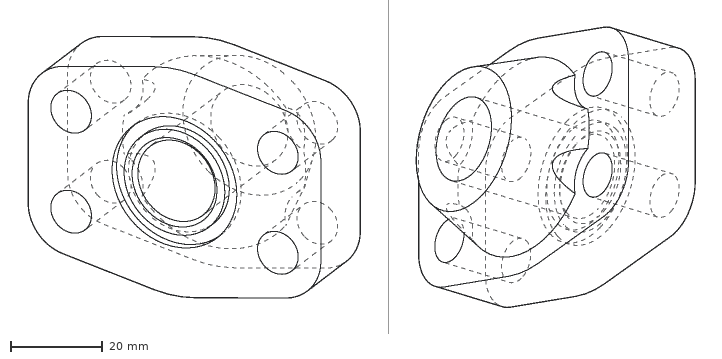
import cadquery as cq
import math

length = 72.0
flange_depth = 19.0
total_depth = 36.0
crown_radius = 26.965
bolt_x = 25.4
bolt_z = 11.9
corner_radius = length / 2 - bolt_x
bolt_hole_diameter = 10.0

neck_base_radius = 22.5
neck_end_radius = 16.35
neck_length = total_depth - flange_depth
bolt_head_radius = 8.0

bore_radius = 9.5
bore_mouth_radius = 10.45
bore_mouth_chamfer = bore_mouth_radius - bore_radius
groove_inner_radius = 12.4
groove_outer_radius = 15.3
groove_depth = 2.15

bolt_points = [(x, z) for x in (-bolt_x, bolt_x) for z in (-bolt_z, bolt_z)]


def plane_at(y):
    """Plane with local axes X and Z whose extrusions run toward +Y."""
    return cq.Plane(origin=(0, y, 0), xDir=(1, 0, 0), normal=(0, 1, 0))


def cylinder(radius, y_start, depth, points=((0, 0),)):
    """Cylinders along +Y; the points are symmetric about both axes."""
    return cq.Workplane(plane_at(y_start)).pushPoints(points).circle(radius).extrude(depth)


def flange():
    center_distance = math.hypot(bolt_x, bolt_z)
    normal_angle = math.atan2(bolt_z, bolt_x) + math.acos((crown_radius - corner_radius) / center_distance)
    nx = math.cos(normal_angle)
    nz = math.sin(normal_angle)
    crown = (crown_radius * nx, crown_radius * nz)
    corner = (bolt_x + corner_radius * nx, bolt_z + corner_radius * nz)
    middle_angle = normal_angle / 2
    corner_middle = (
        bolt_x + corner_radius * math.cos(middle_angle),
        bolt_z + corner_radius * math.sin(middle_angle),
    )
    side = (length / 2, bolt_z)

    def mirrored(point, sx, sz):
        return (sx * point[0], sz * point[1])

    outline = cq.Workplane(plane_at(0)).moveTo(*mirrored(crown, -1, 1))
    for s in (1, -1):
        outline = (
            outline.threePointArc((0, s * crown_radius), mirrored(crown, s, s))
            .lineTo(*mirrored(corner, s, s))
            .threePointArc(mirrored(corner_middle, s, s), mirrored(side, s, s))
            .lineTo(*mirrored(side, s, -s))
            .threePointArc(mirrored(corner_middle, s, -s), mirrored(corner, s, -s))
            .lineTo(*mirrored(crown, s, -s))
        )
    return outline.close().extrude(flange_depth)


def cone(start_radius, end_radius, y_start, depth):
    return cq.Workplane(obj=cq.Solid.makeCone(
        start_radius, end_radius, depth, cq.Vector(0, y_start, 0), cq.Vector(0, 1, 0)
    ))


def neck():
    body = cone(neck_base_radius, neck_end_radius, flange_depth, neck_length)
    return body.cut(cylinder(bolt_head_radius, flange_depth, neck_length, bolt_points))


def seal_groove():
    ring = cylinder(groove_outer_radius, 0, groove_depth)
    return ring.cut(cylinder(groove_inner_radius, 0, groove_depth))


result = (
    flange()
    .union(neck())
    .cut(cylinder(bolt_hole_diameter / 2, 0, flange_depth, bolt_points))
    .cut(cylinder(bore_radius, 0, total_depth))
    .cut(cone(bore_mouth_radius, bore_radius, 0, bore_mouth_chamfer))
    .cut(seal_groove())
)